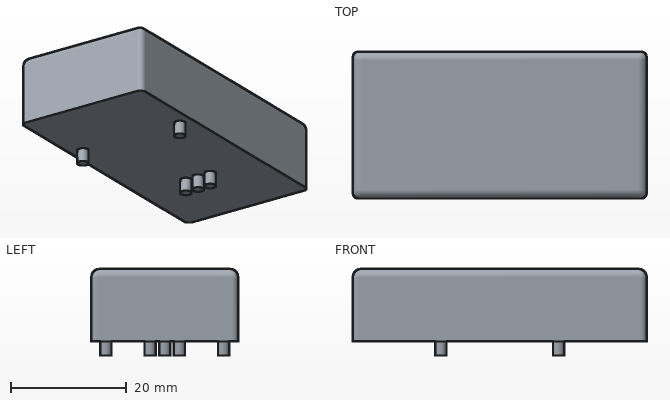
import cadquery as cq

length = 50.8
width = 25.4
total_height = 15.0
pin_length = 2.45
case_height = total_height - pin_length
corner_radius = 1.0
top_radius = 1.45

pin_diameter = 2.0
row_offset = 10.15
outer_pin_offset = 10.15
inner_pin_pitch = 2.55


def make_case():
    """Block with rounded upright corners and a rounded top rim."""
    block = cq.Workplane("XY").box(length, width, case_height, centered=(True, True, False))
    return block.edges("|Z").fillet(corner_radius).faces(">Z").edges().fillet(top_radius)


def make_pins():
    """Round pins hanging from the flat underside."""
    wide_row = [(row_offset, y) for y in (-outer_pin_offset, outer_pin_offset)]
    close_row = [(-row_offset, y) for y in (-inner_pin_pitch, 0, inner_pin_pitch)]
    pins = cq.Workplane("XY").pushPoints(wide_row + close_row).circle(pin_diameter / 2)
    return pins.extrude(-pin_length)


result = make_case().union(make_pins())